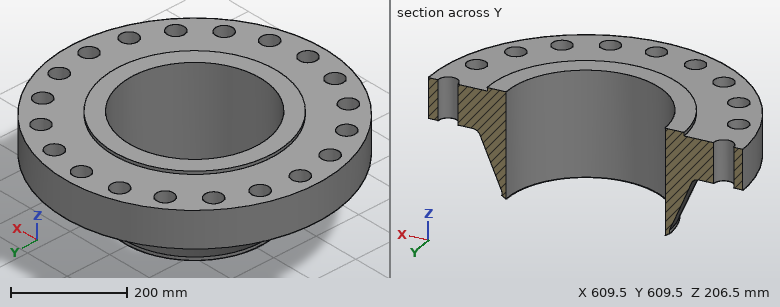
import cadquery as cq

flange_diameter = 609.5
flange_thickness = 79.0
total_height = 206.5
raised_face_diameter = 381.5
raised_face_height = 7.0
bore_diameter = 307.0

neck_base_diameter = 418.0
neck_end_diameter = 325.5
neck_end_height = 12.0
weld_bevel_width = 7.5
weld_bevel_height = 5.0
root_fillet_radius = 14.5
radius_match_tolerance = 0.005

bolt_count = 20
bolt_circle_diameter = 533.5
bolt_hole_diameter = 38.5

flange_top = total_height - raised_face_height
flange_bottom = flange_top - flange_thickness


def make_body():
    """Revolve the solid outline of neck, flange and raised face."""
    neck_end_radius = neck_end_diameter / 2
    outline = (
        cq.Workplane("XZ")
        .moveTo(0, 0)
        .lineTo(neck_end_radius - weld_bevel_width, 0)
        .lineTo(neck_end_radius, weld_bevel_height)
        .lineTo(neck_end_radius, neck_end_height)
        .lineTo(neck_base_diameter / 2, flange_bottom)
        .lineTo(flange_diameter / 2, flange_bottom)
        .lineTo(flange_diameter / 2, flange_top)
        .lineTo(raised_face_diameter / 2, flange_top)
        .lineTo(raised_face_diameter / 2, total_height)
        .lineTo(0, total_height)
        .close()
    )
    return outline.revolve(360, (0, 0, 0), (0, 1, 0))


def fillet_neck_root(body):
    """Round the inside corner where the neck meets the flange."""
    root_radius = neck_base_diameter / 2
    root_edge = body.edges("%CIRCLE").filter(
        lambda edge: abs(edge.radius() - root_radius) < radius_match_tolerance)
    return root_edge.fillet(root_fillet_radius)


def cut_bore(body):
    bore = cq.Workplane("XY").circle(bore_diameter / 2).extrude(total_height)
    return body.cut(bore)


def cut_bolt_holes(body):
    holes = (
        cq.Workplane("XY", origin=(0, 0, flange_bottom))
        .polarArray(bolt_circle_diameter / 2, 0, 360, bolt_count)
        .circle(bolt_hole_diameter / 2)
        .extrude(flange_thickness)
    )
    return body.cut(holes)


body = fillet_neck_root(make_body())
result = cut_bolt_holes(cut_bore(body))